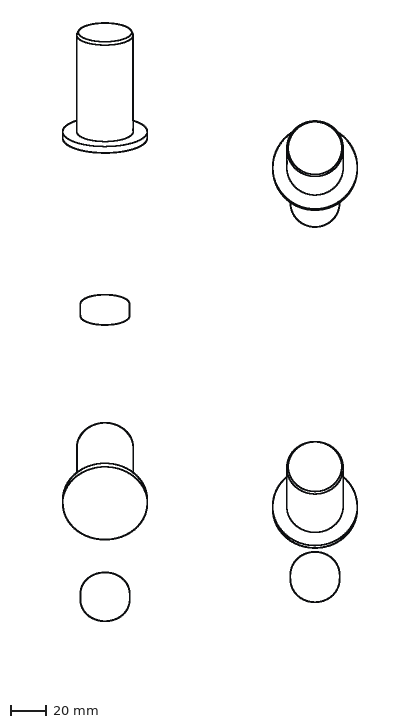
import cadquery as cq

total_height = 172.0

pin_height = 64.0
flange_diameter = 48.0
flange_thickness = 4.0
shank_diameter = 32.0
shank_chamfer_height = 1.7
shank_chamfer_width = 0.9

disc_diameter = 28.0
disc_height = 8.5
disc_round = 0.9


def make_flanged_pin():
    """Solid pin with a flange at its foot and a chamfered top end."""
    flange = cq.Workplane("XY").circle(flange_diameter / 2).extrude(flange_thickness)
    shank = (
        cq.Workplane("XY")
        .circle(shank_diameter / 2)
        .extrude(pin_height)
        .faces(">Z")
        .chamfer(shank_chamfer_height, shank_chamfer_width)
    )
    return flange.union(shank).translate((0, 0, total_height - pin_height))


def make_disc():
    """Short disc with both rims rounded."""
    return (
        cq.Workplane("XY")
        .circle(disc_diameter / 2)
        .extrude(disc_height)
        .faces("<Z or >Z")
        .fillet(disc_round)
    )


flanged_pin = make_flanged_pin()
disc = make_disc()

result = cq.Compound.makeCompound([flanged_pin.val(), disc.val()])